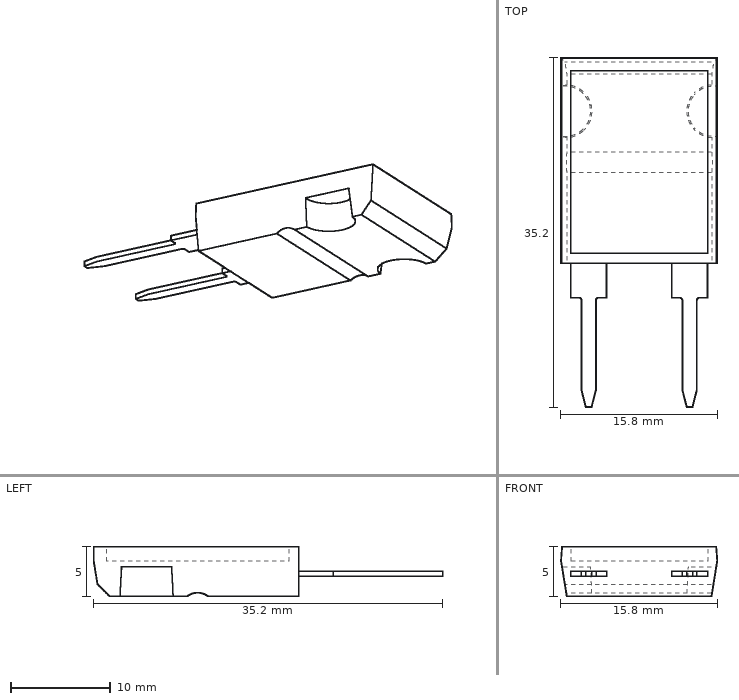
import cadquery as cq


height = 5.0
width = 15.77
top_width = 15.55
bottom_width = 14.6
total_length = 35.2
lead_length = 14.5
length = total_length - lead_length
parting_z = height - 1.4
rear_chamfer = 1.23
rear_draft = 0.4

notch_height = 2.95
notch_y = length - 5.35
notch_bottom_radius = 2.68
notch_top_radius = 2.55
notch_axis_x = 7.45

groove_width = 2.08
groove_depth = 0.35
groove_y = 10.2

plate_width = 13.85
plate_thickness = 1.4
plate_front_margin = 1.02
plate_rear_margin = 1.3
plate_length = length - plate_front_margin - plate_rear_margin

lead_pitch = 10.17
lead_thickness = 0.53
lead_z = 2.0
pad_width = 3.63
pad_length = 3.5
stem_width = 1.48
shoulder_radius = 0.25
tip_width = 0.6
tip_length = 1.72


def make_plate():
    """Rectangular plate, flush with the top of the housing."""
    centre_y = plate_front_margin + plate_length / 2
    return (
        cq.Workplane("XY", origin=(0, centre_y, height - plate_thickness))
        .rect(plate_width, plate_length)
        .extrude(plate_thickness)
    )


def make_housing_block():
    """Crossing of the front outline, drawn in XZ, and the side outline, drawn in YZ."""
    front_prism = (
        cq.Workplane("XZ")
        .moveTo(-bottom_width / 2, 0)
        .lineTo(bottom_width / 2, 0)
        .lineTo(width / 2, parting_z)
        .lineTo(top_width / 2, height)
        .lineTo(-top_width / 2, height)
        .lineTo(-width / 2, parting_z)
        .close()
        .extrude(-length)
    )
    chamfer_y = length - rear_draft
    side_prism = (
        cq.Workplane("YZ")
        .lineTo(groove_y - groove_width / 2, 0)
        .threePointArc((groove_y, groove_depth), (groove_y + groove_width / 2, 0))
        .lineTo(chamfer_y - rear_chamfer, 0)
        .lineTo(chamfer_y, rear_chamfer)
        .lineTo(length, parting_z)
        .lineTo(length, height)
        .lineTo(0, height)
        .close()
        .extrude(width / 2, both=True)
    )
    return front_prism.intersect(side_prism)


def make_notch(side):
    """Tapered round cutter for the flank on the given side (-1 or +1)."""
    cone = cq.Solid.makeCone(notch_bottom_radius, notch_top_radius, notch_height)
    return cq.Workplane(cone.translate(cq.Vector(side * notch_axis_x, notch_y, 0)))


def make_housing():
    """Moulded block with both flank notches and the pocket that holds the plate."""
    housing = make_housing_block()
    for side in (-1, 1):
        housing = housing.cut(make_notch(side))
    return housing.cut(make_plate())


def make_lead(x):
    """Flat lead: wide pad at the housing, narrow stem with rounded shoulders, tapered tip."""
    outline = (
        cq.Workplane("XY", origin=(x, 0, lead_z))
        .moveTo(-pad_width / 2, 0)
        .lineTo(-pad_width / 2, -pad_length)
        .lineTo(-stem_width / 2, -pad_length)
        .lineTo(-stem_width / 2, tip_length - lead_length)
        .lineTo(-tip_width / 2, -lead_length)
        .lineTo(tip_width / 2, -lead_length)
        .lineTo(stem_width / 2, tip_length - lead_length)
        .lineTo(stem_width / 2, -pad_length)
        .lineTo(pad_width / 2, -pad_length)
        .lineTo(pad_width / 2, 0)
        .close()
    )
    reach_x = stem_width / 2 + shoulder_radius
    shoulder_box = cq.selectors.BoxSelector(
        (x - reach_x, -pad_length - shoulder_radius, lead_z),
        (x + reach_x, -pad_length + shoulder_radius, lead_z + lead_thickness),
    )
    lead = outline.extrude(lead_thickness)
    return lead.edges("|Z").edges(shoulder_box).fillet(shoulder_radius)


housing = make_housing()
plate = make_plate()
leads = [make_lead(side * lead_pitch / 2) for side in (-1, 1)]

result = cq.Compound.makeCompound([housing.val(), plate.val(), *[lead.val() for lead in leads]])